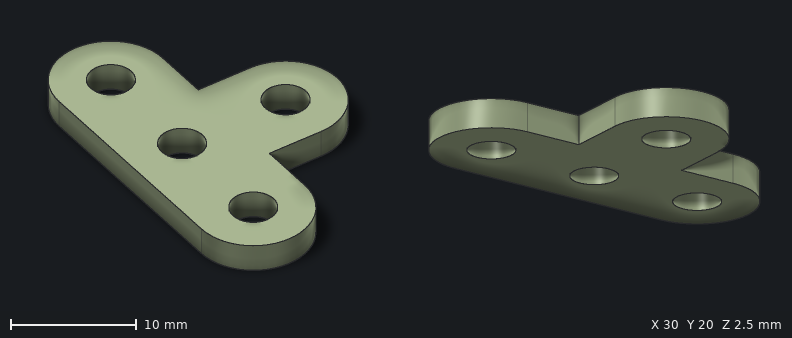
import cadquery as cq

hole_pitch = 10.0
arm_width = 10.0
thickness = 2.5
hole_diameter = 3.9

end_radius = arm_width / 2
hole_centres = [
    (-hole_pitch, 0),
    (0, 0),
    (hole_pitch, 0),
    (0, hole_pitch),
]


def make_plate():
    """T-shaped plate: a bar along X with a stem towards +Y, all ends rounded."""
    outline = (
        cq.Workplane("XY")
        .moveTo(-hole_pitch, -end_radius)
        .lineTo(hole_pitch, -end_radius)
        .threePointArc((hole_pitch + end_radius, 0), (hole_pitch, end_radius))
        .lineTo(end_radius, end_radius)
        .lineTo(end_radius, hole_pitch)
        .threePointArc((0, hole_pitch + end_radius), (-end_radius, hole_pitch))
        .lineTo(-end_radius, end_radius)
        .lineTo(-hole_pitch, end_radius)
        .threePointArc((-hole_pitch - end_radius, 0), (-hole_pitch, -end_radius))
        .close()
    )
    return outline.extrude(thickness)


def cut_holes(plate):
    """Plain through holes at the three rounded ends and at the junction."""
    return plate.faces(">Z").workplane(origin=(0, 0, thickness)).pushPoints(hole_centres).hole(hole_diameter)


result = cut_holes(make_plate())